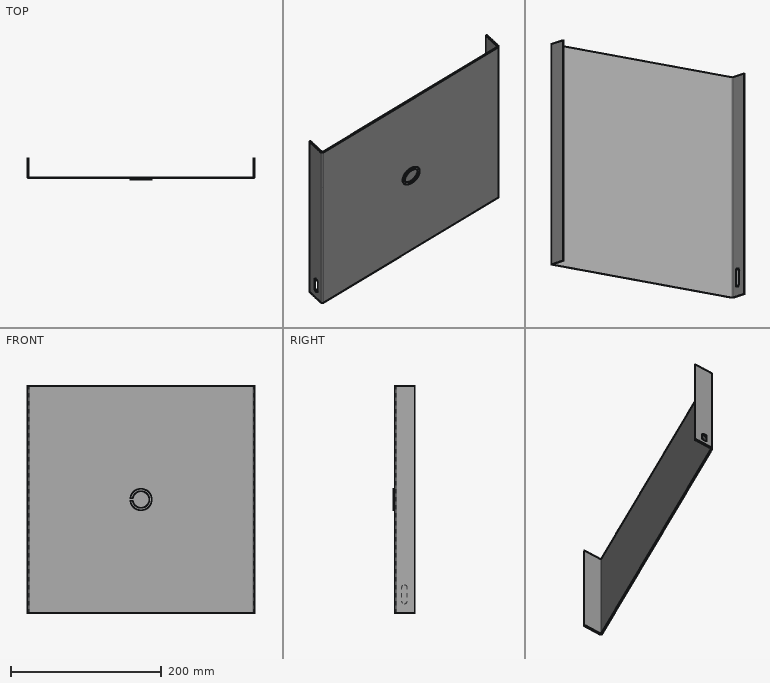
import cadquery as cq

panel_width = 302.26
panel_height = 302.26
sheet_thickness = 1.88
flange_reach = 26.97
bend_inner_radius = 0.64
bend_outer_radius = bend_inner_radius + sheet_thickness

ring_outer_diameter = 28.5
ring_inner_diameter = 22.1
ring_height = 1.85
ring_gap_width = 3.0

slot_width = 7.14
slot_length = 25.4
slot_centre_height = 25.4
slot_setback = 14.25



def rounded_block(width, y_front, corner_radius):
    """Full-height block reaching back to the flange edge, with rounded front corners."""
    depth = flange_reach - y_front
    return (
        cq.Workplane("XY")
        .box(width, depth, panel_height)
        .translate((0, y_front + depth / 2, 0))
        .edges("|Z and <Y")
        .fillet(corner_radius)
    )


def make_channel():
    """Front sheet with a flange bent back along each side."""
    inner_width = panel_width - 2 * sheet_thickness
    outer = rounded_block(panel_width, 0, bend_outer_radius)
    inner = rounded_block(inner_width, sheet_thickness, bend_inner_radius)
    return outer.cut(inner)


def make_ring():
    """Broken ring standing forward from the front face."""
    ring = (
        cq.Workplane("XZ")
        .circle(ring_outer_diameter / 2)
        .circle(ring_inner_diameter / 2)
        .extrude(ring_height)
    )
    gap_length = ring_outer_diameter / 2
    gap = (
        cq.Workplane("XZ")
        .center(-gap_length / 2, 0)
        .rect(gap_length, ring_gap_width)
        .extrude(ring_height)
    )
    return ring.cut(gap)


def make_slot_cutter():
    """Upright slot running along X from the middle of the panel through the -X flange."""
    return (
        cq.Workplane("YZ")
        .center(flange_reach - slot_setback, slot_centre_height - panel_height / 2)
        .slot2D(slot_length, slot_width, 90)
        .extrude(-panel_width)
    )


result = make_channel().union(make_ring()).cut(make_slot_cutter())